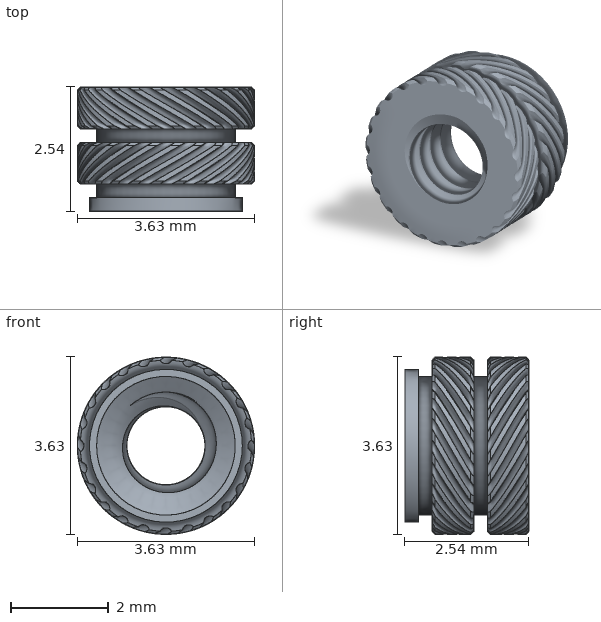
import cadquery as cq
import math


OUTER_DIAMETER = 3.63
NECK_DIAMETER = 2.84
FLANGE_DIAMETER = 3.13

TOTAL_LENGTH = 2.54
STEP_LENGTH = 0.28
BAND_LENGTH = (TOTAL_LENGTH - 3 * STEP_LENGTH) / 2
BAND_START = 2 * STEP_LENGTH
BAND_CHAMFER = 0.06

KNURL_COUNT = 24
KNURL_RADIUS = 0.135
KNURL_TWIST = 47.0
KNURL_OVERRUN = 0.035

MOUTH_DIAMETER = NECK_DIAMETER
BORE_DIAMETER = 1.597
THREAD_PITCH = 0.45
THREAD_DIAMETER = 2.2
THREAD_HALF_ANGLE = 30.0
THREAD_ROOT_FLAT = THREAD_PITCH / 8
THREAD_START_ANGLE = -131.5
CUTTER_OVERLAP = 0.018


def cylinder(diameter, start, length):
    return cq.Workplane("XY", origin=(0, 0, start)).circle(diameter / 2).extrude(length)


def chamfered_band(start):
    return cylinder(OUTER_DIAMETER, start, BAND_LENGTH).edges().chamfer(BAND_CHAMFER)


def knurl_rods():
    """Twisted round rods that cut the right-handed helical grooves of the first band."""
    rod_length = BAND_LENGTH + 2 * KNURL_OVERRUN
    twist_per_length = KNURL_TWIST / BAND_LENGTH
    first_angle = -twist_per_length * KNURL_OVERRUN
    return (
        cq.Workplane("XY", origin=(0, 0, BAND_START - KNURL_OVERRUN))
        .polarArray(OUTER_DIAMETER / 2, first_angle, 360, KNURL_COUNT)
        .circle(KNURL_RADIUS)
        .twistExtrude(rod_length, twist_per_length * rod_length)
    )


def lead_in_bore():
    """Plain bore opening out to the mouth through a 45 degree cone.

    The profile lies on the -X side to keep the seam of the bore clear of the thread run-out.
    """
    mouth_radius = MOUTH_DIAMETER / 2
    bore_radius = BORE_DIAMETER / 2
    cone_depth = mouth_radius - bore_radius
    return (
        cq.Workplane("XZ")
        .polyline(
            [
                (0, 0),
                (-mouth_radius, 0),
                (-bore_radius, cone_depth),
                (-bore_radius, TOTAL_LENGTH),
                (0, TOTAL_LENGTH),
            ]
        )
        .close()
        .revolve(360, (0, 0, 0), (0, 1, 0))
    )


def thread_groove():
    """Flat-rooted V-shaped helical cutter that starts in the open mouth and runs out past the far end."""
    root_radius = THREAD_DIAMETER / 2
    inner_radius = BORE_DIAMETER / 2 - CUTTER_OVERLAP
    flank_width = (root_radius - inner_radius) * math.tan(math.radians(THREAD_HALF_ANGLE))
    half_flat = THREAD_ROOT_FLAT / 2
    half_width = half_flat + flank_width
    run_out_height = (MOUTH_DIAMETER - THREAD_DIAMETER) / 2
    start = run_out_height - half_flat - THREAD_PITCH
    turns = math.ceil((TOTAL_LENGTH + half_width - start) / THREAD_PITCH)
    helix = cq.Wire.makeHelix(THREAD_PITCH, turns * THREAD_PITCH, root_radius)
    return (
        cq.Workplane("XZ")
        .polyline(
            [
                (root_radius, -half_flat),
                (root_radius, half_flat),
                (inner_radius, half_width),
                (inner_radius, -half_width),
            ]
        )
        .close()
        .sweep(cq.Workplane(helix), isFrenet=True)
        .rotate((0, 0, 0), (0, 0, 1), THREAD_START_ANGLE)
        .translate((0, 0, start))
    )


sleeve = cylinder(NECK_DIAMETER, 0, TOTAL_LENGTH)
flange = cylinder(FLANGE_DIAMETER, 0, STEP_LENGTH)
first_band = chamfered_band(BAND_START)
second_band = chamfered_band(TOTAL_LENGTH - BAND_LENGTH)
body = sleeve.union(flange).union(first_band).union(second_band)
threaded_body = body.cut(lead_in_bore()).cut(thread_groove())

middle_of_neck = BAND_START + BAND_LENGTH + STEP_LENGTH / 2
first_knurl = knurl_rods()
second_knurl = first_knurl.mirror("XY", (0, 0, middle_of_neck))

insert = threaded_body.cut(first_knurl).cut(second_knurl)
result = insert.rotate((0, 0, 0), (1, 0, 0), -90)